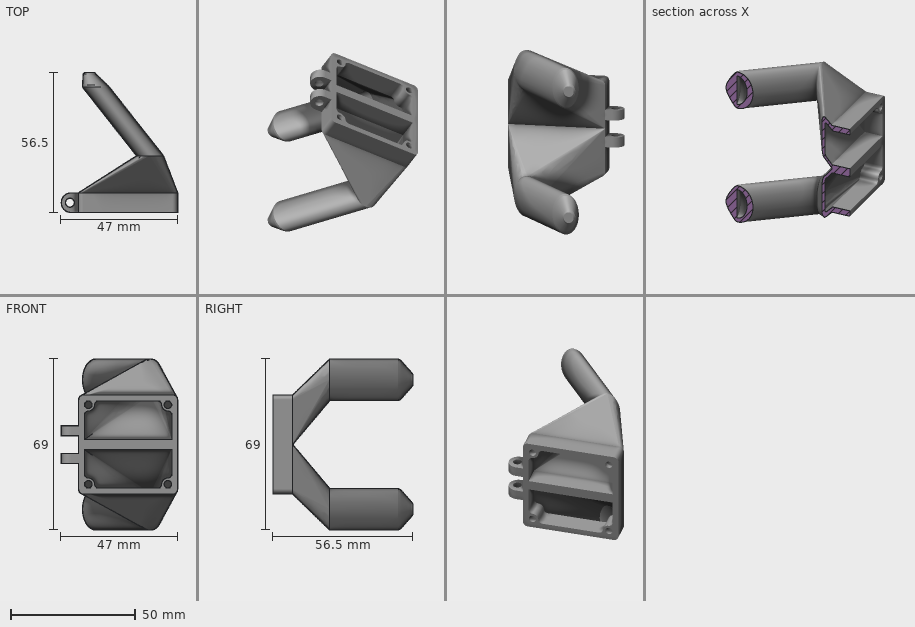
import cadquery as cq
import math

frame_side = 40.0
frame_depth = 8.0
frame_corner_radius = 2.0
frame_half = frame_side / 2

wall = 2.4
rib_thickness = 4.0
window_half = frame_half - wall
rib_half = rib_thickness / 2

screw_spacing = 32.0
screw_offset = screw_spacing / 2
screw_diameter = 3.0
post_radius = 2.5
post_blend_radius = 1.7

lug_radius = frame_depth / 2
lug_reach = 27.0
lug_thickness = 4.15
lug_inner_z = 3.5
pin_diameter = 3.5
pin_x = -23.45

hood_end_y = 22.9
mouth_x = 8.8
mouth_z = 26.1
mouth_half_x = 5.45
mouth_half_z = 8.4
bore_x = 9.1
bore_half_x = 3.45
bore_half_z = 6.4

tube_end_y = 50.6
tube_end_x = -13.0
rim_y = 51.55
rim_x = -13.45
rim_half_x = 5.0
rim_half_z = 7.9
tip_shoulder_y = 55.8
tip_end_y = 56.5
tip_x = -15.5
tip_shoulder_half_x = 2.6
tip_shoulder_half_z = 3.05
tip_half_x = 2.1
tip_half_z = 2.2

sharp_radius = 0.015
tiny_flat = 0.015

pick_margin = 0.1


def box(x0, x1, y0, y1, z0, z1):
    return cq.Workplane("XY").box(x1 - x0, y1 - y0, z1 - z0, centered=False).translate((x0, y0, z0))


def cylinder_along_y(x, z, radius, length):
    return cq.Workplane(cq.Solid.makeCylinder(radius, length, cq.Vector(x, 0, z), cq.Vector(0, 1, 0)))


def rounded_section(y, x_mid, z_mid, half_x, half_z, lower_radii, upper_radii):
    """Rectangle at depth y whose corners are quarter ellipses with (x, z) radii."""
    corners = [(-1, -1, lower_radii), (1, -1, lower_radii), (1, 1, upper_radii), (-1, 1, upper_radii)]
    arcs = []
    for index, (side_x, side_z, (radius_x, radius_z)) in enumerate(corners):
        centre_x = x_mid + side_x * (half_x - radius_x)
        centre_z = z_mid + side_z * (half_z - radius_z)
        start_angle = math.radians(180 + 90 * index)
        angles = [start_angle, start_angle + math.pi / 4, start_angle + math.pi / 2]
        points = [cq.Vector(centre_x + radius_x * math.cos(a), y, centre_z + radius_z * math.sin(a))
                  for a in angles]
        tangents = [cq.Vector(-radius_x * math.sin(a), 0, radius_z * math.cos(a))
                    for a in (angles[0], angles[-1])]
        arcs.append(cq.Edge.makeSpline(points, tangents=tangents))
    edges = []
    for index, arc in enumerate(arcs):
        following = arcs[(index + 1) % len(arcs)]
        edges.append(arc)
        edges.append(cq.Edge.makeLine(arc.endPoint(), following.startPoint()))
    return cq.Wire.assembleEdges(edges)


def mouth_section(x, half_x, half_z):
    radii = (half_x - tiny_flat, half_z - tiny_flat)
    return rounded_section(hood_end_y, x, mouth_z, half_x, half_z, radii, radii)


def hood(half_x, z_low, z_high, upper_radius, end_x, end_half_x, end_half_z):
    low = (sharp_radius, sharp_radius)
    high = (upper_radius, upper_radius)
    base = rounded_section(frame_depth, 0, (z_low + z_high) / 2, half_x, (z_high - z_low) / 2, low, high)
    return cq.Workplane(cq.Solid.makeLoft([base, mouth_section(end_x, end_half_x, end_half_z)], True))


def ellipse(y, x, half_x, half_z):
    centre = cq.Vector(x, y, mouth_z)
    return cq.Wire.makeEllipse(half_z, half_x, centre, cq.Vector(0, 1, 0), cq.Vector(0, 0, 1))


def tube(x, half_x, half_z):
    start = ellipse(hood_end_y, x, half_x, half_z)
    end = ellipse(tube_end_y, x + tube_end_x - mouth_x, half_x, half_z)
    return cq.Workplane(cq.Solid.makeLoft([start, end], True))


def tip():
    sections = [
        ellipse(tube_end_y, tube_end_x, mouth_half_x, mouth_half_z),
        ellipse(rim_y, rim_x, rim_half_x, rim_half_z),
        ellipse(tip_shoulder_y, tip_x, tip_shoulder_half_x, tip_shoulder_half_z),
        ellipse(tip_end_y, tip_x, tip_half_x, tip_half_z),
    ]
    return cq.Workplane(cq.Solid.makeLoft(sections, True))


def frame():
    blank = box(-frame_half, frame_half, 0, frame_depth, -frame_half, frame_half)
    return blank.edges("|Y").fillet(frame_corner_radius)


def window():
    """Upper opening, notched around the two screw posts."""
    opening = box(-window_half, window_half, 0, frame_depth, rib_half, window_half)
    post_edge = screw_offset - post_radius
    for side in (-1, 1):
        x0, x1 = sorted((side * post_edge, side * frame_half))
        opening = opening.cut(box(x0, x1, 0, frame_depth, post_edge, frame_half))
    corners = [
        (post_edge, post_edge, post_radius),
        (post_edge, window_half, post_blend_radius),
        (window_half, post_edge, post_blend_radius),
    ]
    for side in (-1, 1):
        for x, z, radius in corners:
            corner = cq.selectors.BoxSelector(
                (side * x - pick_margin, 0, z - pick_margin),
                (side * x + pick_margin, frame_depth, z + pick_margin))
            opening = opening.edges("|Y").edges(corner).fillet(radius)
    return opening


def lug():
    centre_x = lug_radius - lug_reach
    lug_root_x = -frame_half
    body = box(centre_x, lug_root_x, 0, frame_depth, lug_inner_z, lug_inner_z + lug_thickness)
    rounded = cq.Workplane("XY", origin=(centre_x, lug_radius, lug_inner_z)).circle(lug_radius)
    pin = cq.Workplane("XY", origin=(pin_x, lug_radius, lug_inner_z)).circle(pin_diameter / 2)
    return body.union(rounded.extrude(lug_thickness)).cut(pin.extrude(lug_thickness))


upper_solid = hood(frame_half, 0, frame_half, frame_corner_radius, mouth_x, mouth_half_x, mouth_half_z)
upper_solid = upper_solid.union(tube(mouth_x, mouth_half_x, mouth_half_z))
upper_solid = upper_solid.union(tip()).union(lug()).union(frame())

upper_hollow = hood(window_half, rib_half, window_half, sharp_radius, bore_x, bore_half_x, bore_half_z)
upper_hollow = upper_hollow.union(tube(bore_x, bore_half_x, bore_half_z)).union(window())
for side in (-1, 1):
    screw_hole = cylinder_along_y(side * screw_offset, screw_offset, screw_diameter / 2, frame_depth)
    upper_hollow = upper_hollow.union(screw_hole)

upper = upper_solid.cut(upper_hollow)
upper = upper.intersect(box(-frame_side, frame_side, 0, tip_end_y, 0, frame_side))
result = upper.union(upper.mirror("XY"))